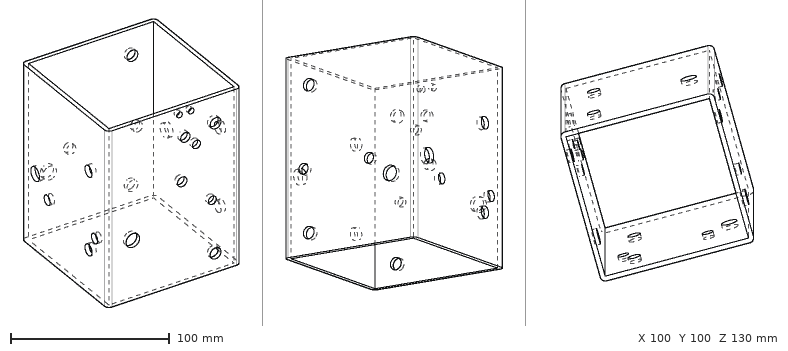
import cadquery as cq

side = 100.0
height = 130.0
wall = 3.2
corner_radius = 3.4

pin_diameter = 10.0
bolt_diameter = 8.0
screw_diameter = 7.0
port_diameter = 7.0
small_port_diameter = 6.0
pilot_diameter = 4.0

bolt_x = 28.0
y_bolts = [(bolt_x, 25.0), (bolt_x, -33.0)]
y_pin = (-34.0, -9.0)
y_screws = [(-20.0, -21.0), (35.0, -21.0)]

bolt_y = 31.0
x_bolts = [(bolt_y, 45.0), (bolt_y, -51.0)]
x_pin = (-31.0, -21.0)
x_screws = [(35.0, -9.0), (-15.0, -9.0)]

pilots = [(12.7, 59.9), (4.0, 59.9)]
upper_port = (8.3, 42.0)
upper_small_port = (16.6, 34.0)
lower_port = (6.0, 10.0)
lower_small_port = (28.5, -11.0)

drill_length = 2 * side


def drill_x(places, diameter, start, length=drill_length):
    """Drills running toward +X from x = start, at (y, z) places."""
    plane = cq.Workplane("YZ", origin=(start, 0, 0))
    return plane.pushPoints(places).circle(diameter / 2).extrude(length)


def drill_y(places, diameter, start, length=drill_length):
    """Drills running toward +Y from y = start, at (x, z) places."""
    plane = cq.Workplane("XZ", origin=(0, start, 0))
    return plane.pushPoints(places).circle(diameter / 2).extrude(-length)


tube = cq.Workplane("XY").box(side, side, height).edges("|Z").fillet(corner_radius)
bore = cq.Workplane("XY").box(side - 2 * wall, side - 2 * wall, height)
result = tube.cut(bore)

result = result.cut(drill_y(y_bolts, bolt_diameter, -side))
result = result.cut(drill_y([y_pin], pin_diameter, -side))
result = result.cut(drill_x(x_bolts, bolt_diameter, -side))
result = result.cut(drill_x([x_pin], pin_diameter, -side))

result = result.cut(drill_y(y_screws, screw_diameter, -side, side))
result = result.cut(drill_x(x_screws, screw_diameter, -side, side))

result = result.cut(drill_x(pilots, pilot_diameter, 0))
result = result.cut(drill_x([upper_port, lower_port], port_diameter, 0))
result = result.cut(drill_x([upper_small_port, lower_small_port], small_port_diameter, 0))